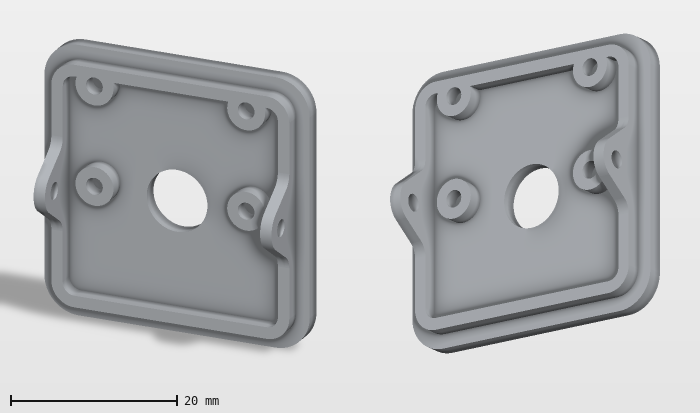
import cadquery as cq
import math

plate_side = 35.0
plate_thickness = 2.0
plate_corner_radius = 4.5

rim_side = 31.4
rim_height = 2.0
rim_wall = 1.5
rim_corner_radius = 3.0
cavity_side = rim_side - 2 * rim_wall
cavity_corner_radius = rim_corner_radius - rim_wall
rim_face = plate_thickness + rim_height

boss_diameter = 5.0
screw_hole_diameter = 2.2
boss_x = 10.0
upper_boss_z = 13.37
boss_row_spacing = 13.0
boss_centers = [
    (x, z)
    for x in (-boss_x, boss_x)
    for z in (upper_boss_z, upper_boss_z - boss_row_spacing)
]

opening_diameter = 8.0
opening_z = -0.6

ear_reach = 9.25
ear_tip_radius = 2.75
ear_root_radius = 2.0
ear_root_half_width = 6.1
pivot_hole_diameter = 2.2
pivot_distance = ear_reach - ear_tip_radius


def rounded_block(side, corner_radius, start, height):
    """Square block with rounded corners, rising toward -Y from a distance off the back face."""
    return (
        cq.Workplane("XZ", origin=(0, -start, 0))
        .rect(side, side)
        .extrude(height)
        .edges("|Y")
        .fillet(corner_radius)
    )


def cylinders(centers, diameter, start, height):
    """Cylinders at (x, z) centers, rising toward -Y from a distance off the back face."""
    return (
        cq.Workplane("XZ", origin=(0, -start, 0))
        .pushPoints(centers)
        .circle(diameter / 2)
        .extrude(height)
    )


def ear(outer_x):
    """Ear one wall thick, starting at outer_x and growing toward +X."""
    root_distance = rim_face + ear_root_radius
    center_gap = math.hypot(root_distance - pivot_distance, ear_root_half_width)
    center_angle = math.atan2(ear_root_half_width, root_distance - pivot_distance)
    normal_angle = center_angle - math.acos((ear_tip_radius + ear_root_radius) / center_gap)

    def on_tip(angle):
        return (
            -pivot_distance - ear_tip_radius * math.cos(angle),
            ear_tip_radius * math.sin(angle),
        )

    def on_root(angle, side):
        return (
            -root_distance + ear_root_radius * math.cos(angle),
            side * (ear_root_half_width - ear_root_radius * math.sin(angle)),
        )

    mid_root_angle = normal_angle / 2
    profile = (
        cq.Workplane("YZ", origin=(outer_x, 0, 0))
        .moveTo(-plate_thickness, -ear_root_half_width)
        .lineTo(*on_root(0, -1))
        .threePointArc(on_root(mid_root_angle, -1), on_root(normal_angle, -1))
        .lineTo(*on_tip(-normal_angle))
        .threePointArc(on_tip(0), on_tip(normal_angle))
        .lineTo(*on_root(normal_angle, 1))
        .threePointArc(on_root(mid_root_angle, 1), on_root(0, 1))
        .lineTo(-plate_thickness, ear_root_half_width)
        .close()
    )
    pivot_hole = (
        cq.Workplane("YZ", origin=(outer_x, 0, 0))
        .center(-pivot_distance, 0)
        .circle(pivot_hole_diameter / 2)
        .extrude(rim_wall)
    )
    return profile.extrude(rim_wall).cut(pivot_hole)


plate = rounded_block(plate_side, plate_corner_radius, 0, plate_thickness)
rim_block = rounded_block(rim_side, rim_corner_radius, plate_thickness, rim_height)
cavity = rounded_block(cavity_side, cavity_corner_radius, plate_thickness, rim_height)

bosses = cylinders(boss_centers, boss_diameter, plate_thickness, rim_height).intersect(rim_block)

screw_holes = cylinders(boss_centers, screw_hole_diameter, plate_thickness, rim_height)
opening = cylinders([(0, opening_z)], opening_diameter, 0, plate_thickness)

result = (
    plate.union(rim_block.cut(cavity))
    .union(bosses)
    .union(ear(-rim_side / 2))
    .union(ear(rim_side / 2 - rim_wall))
    .cut(screw_holes)
    .cut(opening)
)